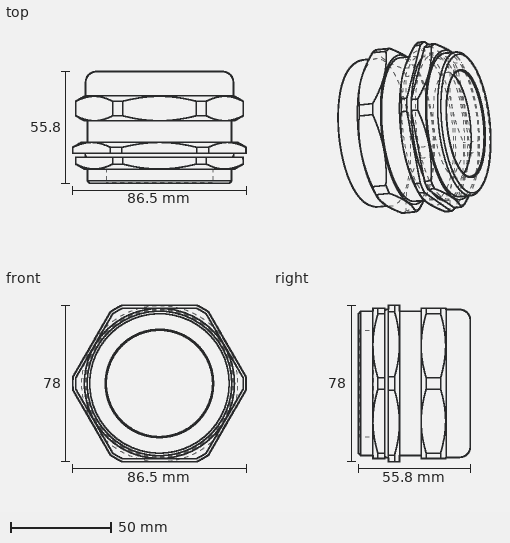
import cadquery as cq
import math

overall_length = 55.81

lock_nut_front = 7.15
lock_nut_back = 13.15
flange_front = 14.95
flange_back = 20.5
cap_nut_front = 31.2
cap_nut_back = 43.75

body_diameter = 72.0
body_chamfer = 1.25
cap_diameter = 73.8
cap_fillet = 5.5
bore_diameter = 53.0
bore_chamfer = 0.5
bore_depth = 7.4

ring_core_diameter = 70.5
ring_thickness = 3.7
ring_offset = 0.4

nut_flats = 75.0
nut_corner_diameter = 83.5
flange_flats = 78.0
flange_corner_diameter = 86.47
face_circle_margin = 0.1
corner_bevel_angle = math.radians(30)


def revolve_profile(profile):
    """Revolve a closed (radius, Y) profile about the Y axis."""
    return profile.close().revolve(360, (0, 0, 0), (0, 1, 0))


def cylinder(diameter, front, back):
    """Solid cylinder about the Y axis between two stations."""
    return cq.Workplane("XZ", origin=(0, front, 0)).circle(diameter / 2).extrude(front - back)


def bevel_depth(corner_diameter, face_circle):
    """Axial depth at the corners of a cone that starts at the face circle; zero without one."""
    if face_circle is None:
        return 0
    return (corner_diameter - face_circle) / 2 * math.tan(corner_bevel_angle)


def hexagon(flats, corner_diameter, front, back, front_circle=None, back_circle=None):
    """Hexagon with flats at +Z and -Z and turned corners.

    A face given a circle diameter is bevelled by a cone starting at that circle.
    """
    prism = (
        cq.Workplane("XZ", origin=(0, front, 0))
        .polygon(6, flats / math.cos(math.pi / 6))
        .extrude(front - back)
    )
    corner_radius = corner_diameter / 2
    profile = cq.Workplane("XY").moveTo(0, front)
    if front_circle:
        profile = profile.lineTo(front_circle / 2, front)
    profile = profile.lineTo(corner_radius, front + bevel_depth(corner_diameter, front_circle))
    profile = profile.lineTo(corner_radius, back - bevel_depth(corner_diameter, back_circle))
    if back_circle:
        profile = profile.lineTo(back_circle / 2, back)
    return prism.intersect(revolve_profile(profile.lineTo(0, back)))


def make_body():
    """Plain round barrel with a chamfered entry end."""
    barrel = cylinder(body_diameter, 0, cap_nut_back)
    return barrel.faces("<Y").chamfer(body_chamfer)


def make_cap():
    """Round cap with a rounded outer edge."""
    cap = cylinder(cap_diameter, cap_nut_front, overall_length)
    return cap.faces(">Y").edges().fillet(cap_fillet)


def make_sealing_ring():
    """Outer half of a round-section ring, partly sunk into the flange and the lock nut."""
    core_radius = ring_core_diameter / 2
    section_radius = ring_thickness / 2
    centre = flange_front - ring_offset
    return revolve_profile(
        cq.Workplane("XY")
        .moveTo(core_radius, centre - section_radius)
        .threePointArc((core_radius + section_radius, centre), (core_radius, centre + section_radius))
    )


def cut_bore(part):
    """Blind bore in the entry end with a small chamfer at its mouth."""
    bore_radius = bore_diameter / 2
    bore = revolve_profile(
        cq.Workplane("XY")
        .lineTo(bore_radius + bore_chamfer, 0)
        .lineTo(bore_radius, bore_chamfer)
        .lineTo(bore_radius, bore_depth)
        .lineTo(0, bore_depth)
    )
    return part.cut(bore)


nut_circle = nut_flats - 2 * face_circle_margin
flange_circle = flange_flats - 2 * face_circle_margin

lock_nut = hexagon(
    nut_flats, nut_corner_diameter, lock_nut_front, lock_nut_back, front_circle=nut_circle
)
flange = hexagon(
    flange_flats, flange_corner_diameter, flange_front, flange_back, back_circle=flange_circle
)
cap_nut = hexagon(
    nut_flats,
    nut_corner_diameter,
    cap_nut_front,
    cap_nut_back,
    front_circle=nut_circle,
    back_circle=cap_diameter,
)

gland = make_body().union(make_cap()).union(lock_nut).union(flange).union(cap_nut)
gland = gland.union(make_sealing_ring())
result = cut_bore(gland)